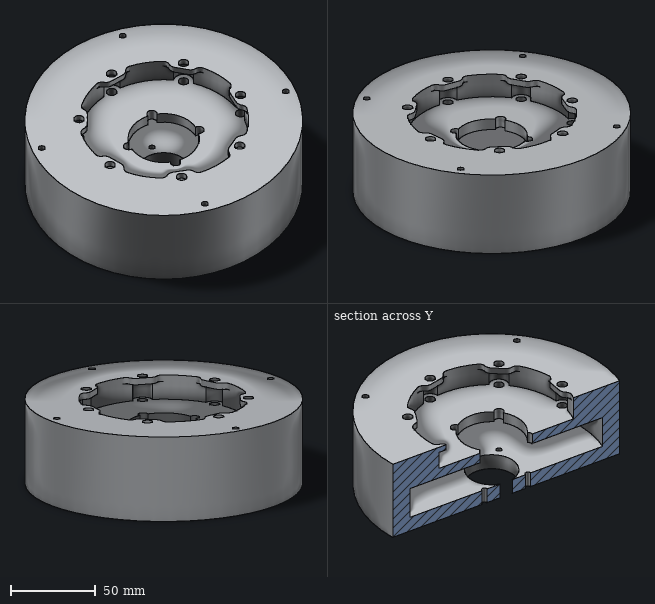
import cadquery as cq
import math

BODY_DIAMETER = 164.0
BODY_HEIGHT = 52.0

LIP_THICKNESS = 4.0
POCKET_DEPTH = 15.0
PLATE_THICKNESS = 7.0
BASE_THICKNESS = 10.0

POCKET_RADIUS = 50.0
TAB_COUNT = 7
TAB_FACE_RADIUS = 45.1
TAB_FACE_WIDTH = 12.8
TAB_SIDE_ANGLE = 42.0
TAB_TIP_FILLET = 5.0
TAB_ROOT_FILLET = 4.0
TAB_HOLE_DIAMETER = 6.0
RELIEF_DIAMETER = 12.0

CAVITY_DIAMETER = 140.0
PLATE_BORE_DIAMETER = 42.0
BASE_BORE_DIAMETER = 32.0
BASE_SCREW_SPACING = 30.8
BASE_SCREW_DIAMETER = 3.5
DRIVER_NOTCH_DIAMETER = 6.0

WALL_SCREW_SPACING = 107.5
WALL_SCREW_DIAMETER = 4.0

LIP_BOTTOM = BODY_HEIGHT - LIP_THICKNESS
PLATE_TOP = BODY_HEIGHT - POCKET_DEPTH
PLATE_BOTTOM = PLATE_TOP - PLATE_THICKNESS


def cylinders(points, diameter, bottom, top):
    """Vertical cylinders at the given XY points, between two levels."""
    sketch = cq.Workplane("XY", origin=(0, 0, bottom)).pushPoints(points)
    return sketch.circle(diameter / 2).extrude(top - bottom)


def square_pattern(spacing):
    """Corners of a square centred on the axis."""
    half = spacing / 2
    return [(x, y) for x in (-half, half) for y in (-half, half)]


def tab_pattern():
    """One point per tab, on the pocket's own radius, starting on +X."""
    angles = [2 * math.pi * i / TAB_COUNT for i in range(TAB_COUNT)]
    return [(POCKET_RADIUS * math.cos(a), POCKET_RADIUS * math.sin(a)) for a in angles]


def lip_opening():
    """Round opening cut back by flat-faced tabs with sloping, rounded sides."""
    tab_reach = 2 * (POCKET_RADIUS - TAB_FACE_RADIUS)
    outer_radius = TAB_FACE_RADIUS + tab_reach
    half_face = TAB_FACE_WIDTH / 2
    half_root = half_face + tab_reach * math.tan(math.radians(TAB_SIDE_ANGLE))
    tab = (
        cq.Workplane("XY", origin=(0, 0, LIP_BOTTOM))
        .polyline([
            (TAB_FACE_RADIUS, -half_face),
            (outer_radius, -half_root),
            (outer_radius, half_root),
            (TAB_FACE_RADIUS, half_face),
        ])
        .close()
        .extrude(LIP_THICKNESS)
        .edges("|Z and <X")
        .fillet(TAB_TIP_FILLET)
    )
    opening = cylinders([(0, 0)], 2 * POCKET_RADIUS, LIP_BOTTOM, BODY_HEIGHT)
    for i in range(TAB_COUNT):
        opening = opening.cut(tab.rotate((0, 0, 0), (0, 0, 1), 360 * i / TAB_COUNT))

    root_tolerance = 0.02
    root_edges = [
        edge for edge in opening.edges("|Z").vals()
        if abs(math.hypot(edge.Center().x, edge.Center().y) - POCKET_RADIUS) < root_tolerance
    ]
    return opening.newObject(root_edges).fillet(TAB_ROOT_FILLET)


def lower_pocket():
    """Round pocket under the lip, with a round relief below every tab."""
    pocket = cylinders([(0, 0)], 2 * POCKET_RADIUS, PLATE_TOP, LIP_BOTTOM)
    return pocket.union(cylinders(tab_pattern(), RELIEF_DIAMETER, PLATE_TOP, LIP_BOTTOM))


centre = [(0, 0)]
base_screws = square_pattern(BASE_SCREW_SPACING)
wall_screws = square_pattern(WALL_SCREW_SPACING)

result = cylinders(centre, BODY_DIAMETER, 0, BODY_HEIGHT)

result = result.cut(lip_opening())
result = result.cut(lower_pocket())
result = result.cut(cylinders(tab_pattern(), TAB_HOLE_DIAMETER, PLATE_BOTTOM, BODY_HEIGHT))

result = result.cut(cylinders(centre, CAVITY_DIAMETER, BASE_THICKNESS, PLATE_BOTTOM))

result = result.cut(cylinders(centre, PLATE_BORE_DIAMETER, PLATE_BOTTOM, PLATE_TOP))
result = result.cut(cylinders(base_screws, DRIVER_NOTCH_DIAMETER, PLATE_BOTTOM, PLATE_TOP))

result = result.cut(cylinders(centre, BASE_BORE_DIAMETER, 0, BASE_THICKNESS))
result = result.cut(cylinders(base_screws, BASE_SCREW_DIAMETER, 0, BASE_THICKNESS))

result = result.cut(cylinders(wall_screws, WALL_SCREW_DIAMETER, 0, BODY_HEIGHT))